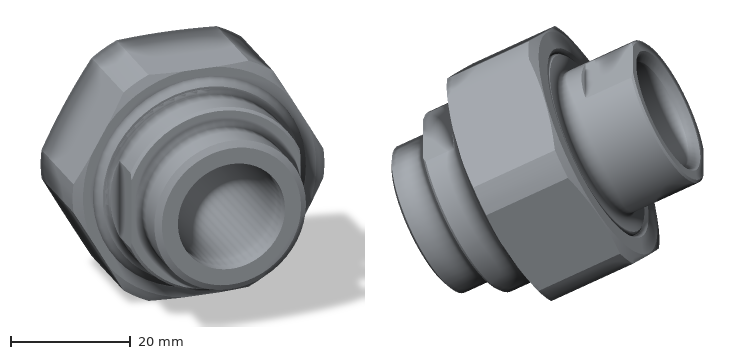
import cadquery as cq
import math


TOTAL_LENGTH = 46.0
NUT_START = 13.45
NUT_END = 30.45
COLLAR_START = 13.6
LIP_END = 16.55
JOINT = 20.25
SHOULDER = 31.5
HEAD_END = 38.45

BORE_DIA = 19.0
FLAT_WALL_ANGLE = 15.0

TAIL_DIA = 26.0
TAIL_CHAMFER_LENGTH = 0.3
TAIL_CHAMFER_DEPTH = 0.4
TAIL_FLAT_WIDTH = 24.0
TAIL_FLAT_END = 9.05
TAIL_FILLET = 0.45
COLLAR_DIA = 33.0
COLLAR_CHAMFER = 0.35
FLANGE_DIA = 36.0
BORE_MOUTH_DIA = 21.85
BORE_CHAMFER = (BORE_MOUTH_DIA - BORE_DIA) / 2

HEX_WIDTH = 41.0
HEX_TURN = 30.0
HEX_CORNER_DIA = 44.65
NUT_FRONT_FACE_DIA = 40.55
NUT_BACK_FACE_DIA = 41.4
NUT_FRONT_CHAMFER = 0.8
NUT_BACK_CHAMFER = 0.6
LIP_HOLE_DIA = 33.5
LIP_CHAMFER = 0.5
THREAD_DIA = 37.85

SPIGOT_CHAMFER = 1.35
HEAD_DIA = 33.0
HEAD_CHAMFER = 0.45
HEAD_FLAT_WIDTH = 30.0
HEAD_FLAT_START = 32.55
HEAD_FILLET = 0.75
END_DIA = 26.9
END_FILLET = 0.87
END_CHAMFER_LENGTH = 0.65
END_CHAMFER_DEPTH = 1.1


def concave_fillet(profile, x, radius, fillet):
    """Append a quarter arc that joins a face at x to a cylinder on its +X side."""
    offset = fillet * (1 - math.sqrt(0.5))
    return profile.threePointArc((x + offset, radius + offset), (x + fillet, radius))


def spin(profile):
    """Close a profile drawn as (x, radius) and revolve it around the X axis."""
    return profile.close().revolve(360, (0, 0, 0), (1, 0, 0))


def flat_cutters(width, wall_x, end_x, depth):
    """Two prisms that cut opposite flats; the wall at wall_x leans away from end_x."""
    direction = math.copysign(1, wall_x - end_x)
    lean = direction * depth * math.tan(math.radians(FLAT_WALL_ANGLE))
    floor = width / 2
    cutter = (
        cq.Workplane("XY")
        .polyline([
            (end_x, floor),
            (wall_x, floor),
            (wall_x + lean, floor + depth),
            (end_x, floor + depth),
        ])
        .close()
        .extrude(HEX_WIDTH / 2, both=True)
    )
    return cutter.union(cutter.mirror("XZ"))


def make_tailpiece():
    bore = BORE_DIA / 2
    tail = TAIL_DIA / 2
    collar = COLLAR_DIA / 2
    flange = FLANGE_DIA / 2
    profile = (
        cq.Workplane("XY")
        .moveTo(BORE_CHAMFER, bore)
        .lineTo(0, BORE_MOUTH_DIA / 2)
        .lineTo(0, tail - TAIL_CHAMFER_DEPTH)
        .lineTo(TAIL_CHAMFER_LENGTH, tail)
        .lineTo(COLLAR_START - TAIL_FILLET, tail)
    )
    offset = TAIL_FILLET * math.sqrt(0.5)
    profile = (
        profile
        .threePointArc(
            (COLLAR_START - TAIL_FILLET + offset, tail + TAIL_FILLET - offset),
            (COLLAR_START, tail + TAIL_FILLET),
        )
        .lineTo(COLLAR_START, collar - COLLAR_CHAMFER)
        .lineTo(COLLAR_START + COLLAR_CHAMFER, collar)
        .lineTo(LIP_END, collar)
        .lineTo(LIP_END, flange)
        .lineTo(JOINT, flange)
        .lineTo(JOINT, bore)
    )
    flat_depth = (TAIL_DIA - TAIL_FLAT_WIDTH) / 2 + TAIL_FILLET
    return spin(profile).cut(flat_cutters(TAIL_FLAT_WIDTH, TAIL_FLAT_END, 0, flat_depth))


def make_nut():
    corner = HEX_CORNER_DIA / 2
    lip = LIP_HOLE_DIA / 2
    thread = THREAD_DIA / 2
    turned = spin(
        cq.Workplane("XY")
        .moveTo(NUT_START, lip + LIP_CHAMFER)
        .lineTo(NUT_START, NUT_FRONT_FACE_DIA / 2)
        .lineTo(NUT_START + NUT_FRONT_CHAMFER, corner)
        .lineTo(NUT_END - NUT_BACK_CHAMFER, corner)
        .lineTo(NUT_END, NUT_BACK_FACE_DIA / 2)
        .lineTo(NUT_END, thread)
        .lineTo(LIP_END, thread)
        .lineTo(LIP_END, lip)
        .lineTo(NUT_START + LIP_CHAMFER, lip)
    )
    hexagon = (
        cq.Workplane("YZ", origin=(NUT_START, 0, 0))
        .transformed(rotate=(0, 0, HEX_TURN))
        .polygon(6, HEX_WIDTH, circumscribed=True)
        .extrude(NUT_END - NUT_START)
    )
    return turned.intersect(hexagon)


def make_body():
    bore = BORE_DIA / 2
    spigot = THREAD_DIA / 2
    head = HEAD_DIA / 2
    end = END_DIA / 2
    profile = (
        cq.Workplane("XY")
        .moveTo(JOINT, bore)
        .lineTo(JOINT, spigot)
        .lineTo(SHOULDER - SPIGOT_CHAMFER, spigot)
        .lineTo(SHOULDER, spigot - SPIGOT_CHAMFER)
        .lineTo(SHOULDER, head + HEAD_FILLET)
    )
    profile = (
        concave_fillet(profile, SHOULDER, head, HEAD_FILLET)
        .lineTo(HEAD_END - HEAD_CHAMFER, head)
        .lineTo(HEAD_END, head - HEAD_CHAMFER)
        .lineTo(HEAD_END, end + END_FILLET)
    )
    profile = (
        concave_fillet(profile, HEAD_END, end, END_FILLET)
        .lineTo(TOTAL_LENGTH - END_CHAMFER_LENGTH, end)
        .lineTo(TOTAL_LENGTH, end - END_CHAMFER_DEPTH)
        .lineTo(TOTAL_LENGTH, bore)
    )
    flat_depth = (HEAD_DIA - HEAD_FLAT_WIDTH) / 2 + HEAD_FILLET
    return spin(profile).cut(flat_cutters(HEAD_FLAT_WIDTH, HEAD_FLAT_START, HEAD_END, flat_depth))


tailpiece = make_tailpiece().solids().val()
nut = make_nut().solids().val()
body = make_body().solids().val()

result = cq.Compound.makeCompound([tailpiece, nut, body])